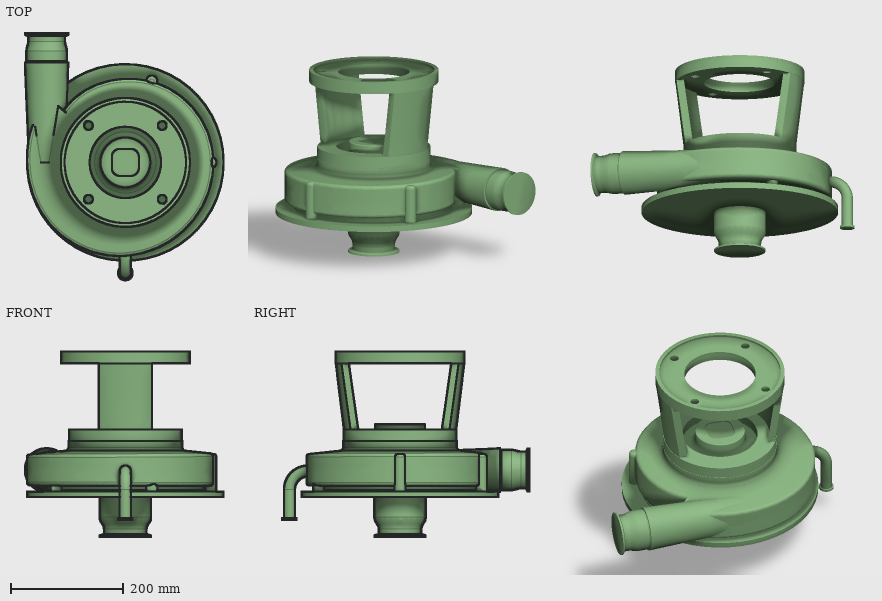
import cadquery as cq
import math


plate_radius = 175.0
plate_thickness = 10.0
pad_radius = 142.0
pad_thickness = 2.5
backing_radius = 139.5

spiral_radii = (143.5, 147.8, 152.5, 156.0, 157.2, 161.0, 168.0, 173.7, 175.0, 178.0)
spiral_start_angle = 140.0
crown_radius = 107.0
crown_top_z = 82.7
crown_top_drop = 9.7
crown_bottom_z = 18.7
crown_bottom_rise = 3.3
crown_outer_radius = 200.0
casing_corner_radius = 6.0

post_count = 5
post_pitch_radius = 152.2
post_radius = 9.9
post_top_z = 77.2
post_fillet = 6.0

neck_radius = 101.3
neck_fillet = 6.0
neck_top_z = 99.5
ring_radius = 100.7
ring_top_z = 120.5
ring_bore_radius = 67.0

hub_radius = 44.5
hub_floor_z = 103.0
hub_top_z = 130.0
hub_root_fillet = 10.0
hub_edge_fillet = 2.0
hub_pocket_width = 48.0
hub_pocket_corner = 14.0
hub_pocket_depth = 2.0

flange_radius = 115.0
flange_bottom_z = 238.0
flange_top_z = 259.5
flange_bore_radius = 63.5
recess_radius = 108.0
recess_depth = 4.0
bolt_spacing = 131.0
bolt_hole_diameter = 15.5
leg_width = 95.0
leg_wall = 12.0
leg_bottom_radius = 100.0
leg_top_radius = 114.5

inlet_radius = 46.0
inlet_straight_z = -35.5
inlet_neck_radius = 38.0
inlet_neck_z = -57.0
inlet_end_z = -71.0
inlet_rim_radius = 45.7

outlet_x = -140.0
outlet_z = 48.4
outlet_pipe_radius = 38.89
outlet_root_radius = 31.5
outlet_pipe_y = 178.0
outlet_groove_radius = 35.0
outlet_groove_end_y = 180.6
outlet_radius = 36.3
outlet_straight_y = 198.0
outlet_neck_radius = 33.0
outlet_neck_y = 215.0
outlet_end_y = 230.0
outlet_rim_radius = 38.6

rim_thickness = 3.0
rim_flare = 2.5

drain_radius = 10.0
drain_center_z = 46.5
drain_drop_y = -196.7
drain_bend_radius = 33.0
drain_start_y = -150.0
drain_bottom_z = -41.0
drain_rim_radius = 13.0
drain_rim_thickness = 4.0


def cylinder(radius, bottom_z, top_z):
    return cq.Workplane("XY").workplane(offset=bottom_z).circle(radius).extrude(top_z - bottom_z)


def spiral_point(index):
    """Point of the casing spiral at the given entry of the radius list."""
    turn_step = 2 * math.pi / (len(spiral_radii) - 1)
    angle = math.radians(spiral_start_angle) - index * turn_step
    radius = spiral_radii[index]
    return (radius * math.cos(angle), radius * math.sin(angle))


def make_base():
    plate = cylinder(plate_radius, 0, plate_thickness)
    pad = cylinder(pad_radius, 0, plate_thickness + pad_thickness)
    backing = cylinder(backing_radius, plate_thickness, crown_bottom_z + crown_bottom_rise)
    return plate.union(pad).union(backing)


def make_casing():
    """Spiral block whose top and bottom faces are shallow cones, closed off inside the outlet pipe."""
    outline = [spiral_point(index) for index in range(len(spiral_radii))]
    block = (
        cq.Workplane("XY")
        .workplane(offset=crown_bottom_z)
        .spline(outline)
        .close()
        .extrude(crown_top_z - crown_bottom_z)
    )
    crown = (
        cq.Workplane("XZ")
        .moveTo(0, crown_bottom_z)
        .lineTo(crown_radius, crown_bottom_z)
        .lineTo(crown_outer_radius, crown_bottom_z + crown_bottom_rise)
        .lineTo(crown_outer_radius, crown_top_z - crown_top_drop)
        .lineTo(crown_radius, crown_top_z)
        .lineTo(0, crown_top_z)
        .close()
        .revolve(360, (0, 0), (0, 1))
    )
    casing = block.intersect(crown)
    return casing.edges("%BSPLINE").fillet(casing_corner_radius)


def make_posts():
    post = cylinder(post_radius, plate_thickness, post_top_z).faces(">Z").edges().fillet(post_fillet)
    posts = cq.Workplane("XY")
    for i in range(post_count):
        placed = post.translate((post_pitch_radius, 0, 0)).rotate((0, 0, 0), (0, 0, 1), i * 360 / post_count)
        posts = posts.union(placed)
    return posts


def make_neck():
    """Neck with a concave root on the casing, carrying the lower lantern ring."""
    diagonal = neck_fillet * math.sqrt(0.5)
    neck = (
        cq.Workplane("XZ")
        .moveTo(0, crown_bottom_z)
        .lineTo(neck_radius + neck_fillet, crown_bottom_z)
        .lineTo(neck_radius + neck_fillet, crown_top_z)
        .threePointArc(
            (neck_radius + neck_fillet - diagonal, crown_top_z + neck_fillet - diagonal),
            (neck_radius, crown_top_z + neck_fillet),
        )
        .lineTo(neck_radius, neck_top_z)
        .lineTo(0, neck_top_z)
        .close()
        .revolve(360, (0, 0), (0, 1))
    )
    ring = cylinder(ring_radius, neck_top_z, ring_top_z)
    ring = ring.cut(cylinder(ring_bore_radius, hub_floor_z, ring_top_z))
    return neck.union(ring)


def make_hub():
    flat_radius = hub_radius - hub_edge_fillet
    root_radius = hub_radius + hub_root_fillet
    root_diagonal = hub_root_fillet * math.sqrt(0.5)
    edge_diagonal = hub_edge_fillet * math.sqrt(0.5)
    hub = (
        cq.Workplane("XZ")
        .moveTo(0, crown_top_z)
        .lineTo(root_radius, crown_top_z)
        .lineTo(root_radius, hub_floor_z)
        .threePointArc(
            (root_radius - root_diagonal, hub_floor_z + hub_root_fillet - root_diagonal),
            (hub_radius, hub_floor_z + hub_root_fillet),
        )
        .lineTo(hub_radius, hub_top_z - hub_edge_fillet)
        .threePointArc(
            (flat_radius + edge_diagonal, hub_top_z - hub_edge_fillet + edge_diagonal),
            (flat_radius, hub_top_z),
        )
        .lineTo(0, hub_top_z)
        .close()
        .revolve(360, (0, 0), (0, 1))
    )
    pocket = (
        cq.Workplane("XY")
        .workplane(offset=hub_top_z - hub_pocket_depth)
        .rect(hub_pocket_width, hub_pocket_width)
        .extrude(hub_pocket_depth)
        .edges("|Z")
        .fillet(hub_pocket_corner)
    )
    return hub.cut(pocket)


def make_legs():
    """Two opposite strips of a conical shell, flaring up to the flange."""
    shell = (
        cq.Workplane("XZ")
        .moveTo(leg_bottom_radius - leg_wall, ring_top_z)
        .lineTo(leg_bottom_radius, ring_top_z)
        .lineTo(leg_top_radius, flange_bottom_z)
        .lineTo(leg_top_radius - leg_wall, flange_bottom_z)
        .close()
        .revolve(360, (0, 0), (0, 1))
    )
    strip = (
        cq.Workplane("XY")
        .workplane(offset=ring_top_z)
        .rect(leg_width, 2 * flange_radius)
        .extrude(flange_bottom_z - ring_top_z)
    )
    return shell.intersect(strip)


def make_flange():
    flange = cylinder(flange_radius, flange_bottom_z, flange_top_z)
    flange = flange.cut(cylinder(recess_radius, flange_top_z - recess_depth, flange_top_z))
    flange = flange.cut(cylinder(flange_bore_radius, flange_bottom_z, flange_top_z))
    bolts = (
        cq.Workplane("XY")
        .workplane(offset=flange_bottom_z)
        .rect(bolt_spacing, bolt_spacing, forConstruction=True)
        .vertices()
        .circle(bolt_hole_diameter / 2)
        .extrude(flange_top_z - flange_bottom_z)
    )
    return flange.cut(bolts)


def make_ferrule(root, straight_end, end, body_radius, neck_start, throat_radius, rim_radius):
    """Stub along +Z from root: straight stretch, reducing curve, neck and flared rim."""
    rim_start = end - rim_thickness
    mid_radius = (body_radius + throat_radius) / 2
    mid = (straight_end + neck_start) / 2
    reducer = [(mid_radius, mid), (throat_radius, neck_start)]
    return (
        cq.Workplane("XZ")
        .moveTo(0, root)
        .lineTo(body_radius, root)
        .lineTo(body_radius, straight_end)
        .spline(reducer, tangents=[(0, 1), (0, 1)], includeCurrent=True)
        .lineTo(throat_radius, rim_start - rim_flare)
        .lineTo(rim_radius, rim_start)
        .lineTo(rim_radius, end)
        .lineTo(0, end)
        .close()
        .revolve(360, (0, 0), (0, 1))
    )


def make_inlet():
    stub = make_ferrule(
        0, -inlet_straight_z, -inlet_end_z, inlet_radius, -inlet_neck_z, inlet_neck_radius, inlet_rim_radius
    )
    return stub.rotate((0, 0, 0), (1, 0, 0), 180)


def make_outlet():
    cone = cq.Workplane("XY").add(
        cq.Solid.makeCone(outlet_root_radius, outlet_pipe_radius, outlet_pipe_y)
    )
    groove = cylinder(outlet_groove_radius, outlet_pipe_y, outlet_groove_end_y)
    stub = make_ferrule(
        outlet_groove_end_y,
        outlet_straight_y,
        outlet_end_y,
        outlet_radius,
        outlet_neck_y,
        outlet_neck_radius,
        outlet_rim_radius,
    )
    outlet = cone.union(groove).union(stub).rotate((0, 0, 0), (1, 0, 0), -90)
    return outlet.translate((outlet_x, 0, outlet_z))


def make_drain():
    bend_diagonal = drain_bend_radius * math.sqrt(0.5)
    bend_center_y = drain_drop_y + drain_bend_radius
    bend_center_z = drain_center_z - drain_bend_radius
    path = (
        cq.Workplane("YZ")
        .moveTo(drain_start_y, drain_center_z)
        .lineTo(bend_center_y, drain_center_z)
        .threePointArc(
            (bend_center_y - bend_diagonal, bend_center_z + bend_diagonal),
            (drain_drop_y, bend_center_z),
        )
        .lineTo(drain_drop_y, drain_bottom_z)
    )
    start = cq.Workplane("XZ", origin=(0, drain_start_y, drain_center_z))
    pipe = start.circle(drain_radius).sweep(path)
    rim = cylinder(drain_rim_radius, drain_bottom_z, drain_bottom_z + drain_rim_thickness)
    return pipe.union(rim.translate((0, drain_drop_y, 0)))


result = make_base()
for body in (
    make_casing(),
    make_posts(),
    make_neck(),
    make_hub(),
    make_legs(),
    make_flange(),
    make_inlet(),
    make_outlet(),
    make_drain(),
):
    result = result.union(body)